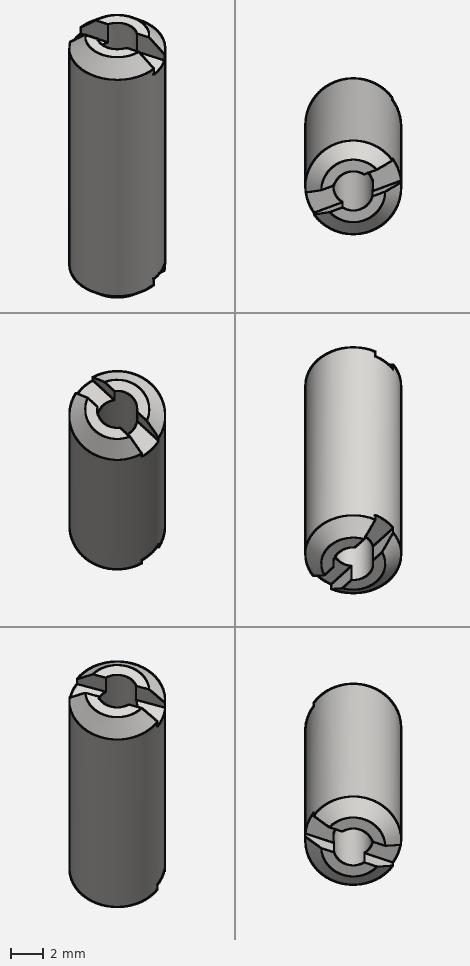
import cadquery as cq

length = 20.0
outer_diameter = 6.0
bore_diameter = 2.5
end_chamfer = 1.0
slot_width = 1.5
slot_depth = 1.5


def pin_body():
    """Bevelled cylinder with a through bore, centred on the origin."""
    cylinder = cq.Workplane("XY").cylinder(length, outer_diameter / 2)
    bevelled = cylinder.faces("|Z").chamfer(end_chamfer)
    bore = cq.Workplane("XY").cylinder(length, bore_diameter / 2)
    return bevelled.cut(bore)


def driver_slot(end):
    """Slot along X, cut inward from the top (end = 1) or bottom (end = -1)."""
    center_z = end * (length - slot_depth) / 2
    slot = cq.Workplane("XY").box(outer_diameter, slot_width, slot_depth)
    return slot.translate((0, 0, center_z))


result = pin_body()
for end in (1, -1):
    result = result.cut(driver_slot(end))